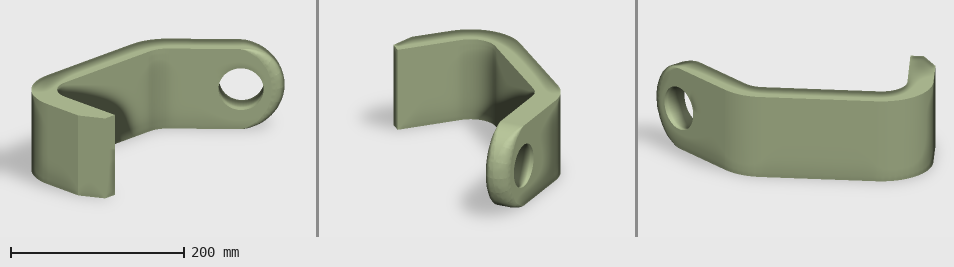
import cadquery as cq
import math

overall_x = 140.0
overall_y = 325.7
width = 100.0
thickness = 30.0
outer_bend_radius = 60.0
web_length = 135.0
arm_angle = 45.0
lip_angle = 3.0
lip_end_height = 15.5
lip_bevel_length = 28.0
lip_bevel_angle = 30.0
hole_diameter = 52.0
smallest_edge_radius = 0.15
crown_flat = 0.3
wedge_count = 4

inner_bend_radius = outer_bend_radius - thickness
middle_bend_radius = (outer_bend_radius + inner_bend_radius) / 2
half_width = width / 2
half_thickness = thickness / 2
crown_radius = half_thickness - crown_flat / 2
lower_center = (outer_bend_radius, outer_bend_radius)
upper_center = (outer_bend_radius, outer_bend_radius + web_length)
arm_cos = math.cos(math.radians(arm_angle))
arm_sin = math.sin(math.radians(arm_angle))

bend_end_y = upper_center[1] + middle_bend_radius * arm_sin
tip_rise = overall_y - half_thickness - bend_end_y
arm_length = tip_rise / arm_sin - (half_width - half_thickness)


def polar(center, radius, angle):
    """Point on a circle, with the angle in degrees from +X."""
    turn = math.radians(angle)
    return (center[0] + radius * math.cos(turn), center[1] + radius * math.sin(turn))


def along_arm(point, distance):
    return (point[0] + distance * arm_cos, point[1] + distance * arm_sin)


def make_strip():
    """Bent strip from the bevelled lip to the eye centre."""
    arm_normal = 90 + arm_angle
    lip_normal = 270 + lip_angle
    lip_slope = math.tan(math.radians(lip_angle))
    upper_mid = (180 + arm_normal) / 2
    lower_mid = (180 + lip_normal) / 2

    outer_arm = polar(upper_center, outer_bend_radius, arm_normal)
    inner_arm = polar(upper_center, inner_bend_radius, arm_normal)
    outer_lip = polar(lower_center, outer_bend_radius, lip_normal)
    inner_lip = polar(lower_center, inner_bend_radius, lip_normal)

    lip_top_y = inner_lip[1] + (overall_x - inner_lip[0]) * lip_slope
    bevel_x = overall_x - lip_bevel_length
    bevel_y = lip_top_y - lip_end_height - lip_bevel_length * math.tan(math.radians(lip_bevel_angle))
    bevel_start = (bevel_x, bevel_y)

    return (
        cq.Workplane("XY")
        .workplane(offset=-half_width)
        .moveTo(*along_arm(outer_arm, arm_length))
        .lineTo(*outer_arm)
        .threePointArc(polar(upper_center, outer_bend_radius, upper_mid), (0, upper_center[1]))
        .lineTo(0, lower_center[1])
        .threePointArc(polar(lower_center, outer_bend_radius, lower_mid), outer_lip)
        .lineTo(*bevel_start)
        .lineTo(overall_x, lip_top_y - lip_end_height)
        .lineTo(overall_x, lip_top_y)
        .lineTo(*inner_lip)
        .threePointArc(polar(lower_center, inner_bend_radius, lower_mid), (thickness, lower_center[1]))
        .lineTo(thickness, upper_center[1])
        .threePointArc(polar(upper_center, inner_bend_radius, upper_mid), inner_arm)
        .lineTo(*along_arm(inner_arm, arm_length))
        .close()
        .extrude(width)
    )


eye_center = along_arm(polar(upper_center, middle_bend_radius, 90 + arm_angle), arm_length)
eye_plane = cq.Plane(
    origin=(eye_center[0], eye_center[1], 0),
    xDir=(arm_cos, arm_sin, 0),
    normal=(-arm_sin, arm_cos, 0),
)


def edge_radius(angle):
    """Edge rounding of the eye end, from a sharp side at 0 degrees to a full round tip at 90."""
    return max(smallest_edge_radius, crown_radius * math.sin(math.radians(angle)))


def make_eye_wedge(start, end):
    """Rounded sector of the eye end between two angles measured from one side."""
    blank = (
        cq.Workplane(eye_plane)
        .workplane(offset=-half_thickness)
        .lineTo(*polar((0, 0), half_width, start - 90))
        .threePointArc(
            polar((0, 0), half_width, (start + end) / 2 - 90),
            polar((0, 0), half_width, end - 90),
        )
        .close()
        .extrude(thickness)
    )
    rounding = cq.occ_impl.shapes.BRepFilletAPI_MakeFillet(blank.val().wrapped)
    for arc in blank.edges("%CIRCLE").vals():
        first = eye_plane.toLocalCoords(arc.startPoint())
        last = eye_plane.toLocalCoords(arc.endPoint())
        radii = [edge_radius(start), edge_radius(end)]
        begins_at_tip_side = first.x > last.x
        if begins_at_tip_side:
            radii.reverse()
        rounding.Add(*radii, arc.wrapped)
    return cq.Workplane(cq.Shape.cast(rounding.Shape()))


def make_eye_end():
    """Half-round end whose edge rounding grows from the sides to a full round at the tip."""
    wedge_angle = 90 / wedge_count
    half_end = make_eye_wedge(0, wedge_angle)
    for index in range(1, wedge_count):
        half_end = half_end.union(make_eye_wedge(index * wedge_angle, (index + 1) * wedge_angle))
    return half_end.union(half_end.mirror("XY"))


eye_hole = (
    cq.Workplane(eye_plane)
    .workplane(offset=-half_thickness)
    .circle(hole_diameter / 2)
    .extrude(thickness)
)
result = make_strip().union(make_eye_end()).cut(eye_hole)